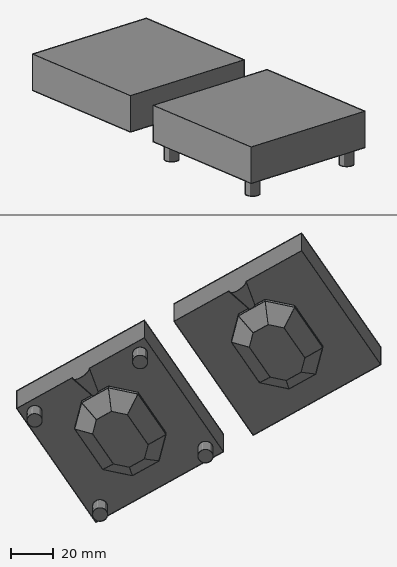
import cadquery as cq

total_length = 156.4
total_height = 28.0
block_side = 70.0
block_height = 18.3
block_offset = (total_length - block_side) / 2

core_width = 34.7
core_length = 44.9
core_corner = 10.0
core_rim = 1.9
core_taper = 45.0
core_shift = 0.2
core_taper_height = total_height - block_height - core_rim

sprue_outer_radius = 4.7
sprue_inner_radius = 1.7

pin_diameter = 7.0
pin_length = 8.5
pin_spacing = 57.9


def make_block(center_x):
    """Square block whose underside lies on Z = 0."""
    block = cq.Workplane("XY").box(block_side, block_side, block_height, centered=(True, True, False))
    return block.translate((center_x, 0, 0))


def make_core(center_x):
    """Octagonal rim with a tapered nose pointing down."""
    rim = (
        cq.Workplane("XY")
        .box(core_width, core_length, core_rim, centered=(True, True, False))
        .edges("|Z")
        .chamfer(core_corner)
        .translate((0, 0, -core_rim))
    )
    underside = rim.faces("<Z").wires().toPending().workplane()
    nose = underside.extrude(core_taper_height, taper=core_taper, combine=False)
    return rim.union(nose).translate((center_x, 0, 0))


def make_sprue(center_x):
    """Lower half of a cone that widens from the core to the block edge."""
    inner_y = core_length / 2
    outer_y = block_side / 2
    profile = (
        cq.Workplane("XY")
        .moveTo(0, inner_y)
        .lineTo(sprue_inner_radius, inner_y)
        .lineTo(sprue_outer_radius, outer_y)
        .lineTo(0, outer_y)
        .close()
    )
    return profile.revolve(180, (0, 0, 0), (0, 1, 0)).translate((center_x, 0, 0))


def make_pins(center_x):
    """Four pins hanging from the corners of a block."""
    return (
        cq.Workplane("XY")
        .rarray(pin_spacing, pin_spacing, 2, 2)
        .circle(pin_diameter / 2)
        .extrude(-pin_length)
        .translate((center_x, 0, 0))
    )


def make_mold_half(center_x, core_x):
    """Block with its core and sprue."""
    return make_block(center_x).union(make_core(core_x)).union(make_sprue(core_x))


plain_half = make_mold_half(-block_offset, -block_offset + core_shift)
pinned_half = make_mold_half(block_offset, block_offset - core_shift).union(make_pins(block_offset))

result = cq.Compound.makeCompound([plain_half.val(), pinned_half.val()])